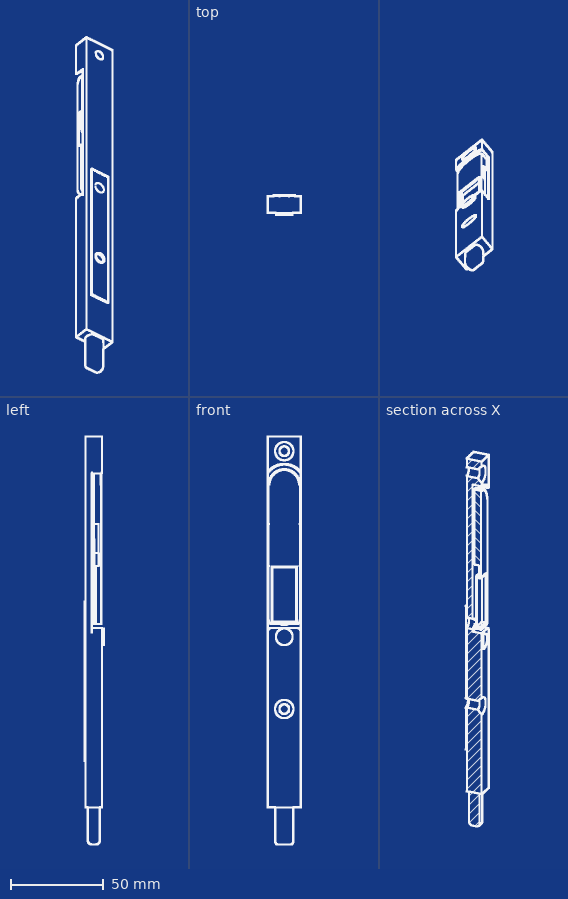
import cadquery as cq
import math


TOTAL_LENGTH = 220.0

HOUSING_WIDTH = 18.0
HOUSING_DEPTH = 9.0
HOUSING_LENGTH = 200.0
HOUSING_TOP = TOTAL_LENGTH
HOUSING_BOTTOM = HOUSING_TOP - HOUSING_LENGTH

SCREW_HOLE_DIAMETER = 5.0
SCREW_HEAD_DIAMETER = 10.0
UPPER_HOLE_Z = HOUSING_TOP - 8.0
LOWER_HOLE_Z = HOUSING_TOP - 147.0

EDGE_BREAK = 0.5

LEVER_WIDTH = 16.7
LEVER_FRONT_SETBACK = 0.5
LEVER_BACK_SETBACK = 4.6
LEVER_TOP = HOUSING_TOP - 17.5
LEVER_BOTTOM = HOUSING_TOP - 101.2
LEVER_CORNER_RADIUS = 2.0
LEVER_RADIUS = LEVER_WIDTH / 2
LEVER_ARC_Z = LEVER_TOP - LEVER_RADIUS
LEVER_FRONT_Y = LEVER_FRONT_SETBACK - HOUSING_DEPTH
LEVER_BACK_Y = LEVER_BACK_SETBACK - HOUSING_DEPTH

LEAF_THICKNESS = 0.5
LEAF_FRONT_Y = LEVER_BACK_Y - LEAF_THICKNESS
SLIT_WIDTH = 0.7
RELIEF_TOP = HOUSING_TOP - 47.0
RELIEF_BOTTOM = HOUSING_TOP - 69.7
RELIEF_SKIN = 1.5

BOSS_RADIUS = 7.3
BOSS_ARC_Z = HOUSING_TOP - 55.7

POCKET_WIDTH = 12.8
POCKET_TOP = HOUSING_TOP - 70.6
POCKET_BOTTOM = HOUSING_TOP - 99.7
POCKET_DEPTH = 2.5

RECESS_DEPTH = 5.5
RECESS_FLOOR_Y = RECESS_DEPTH - HOUSING_DEPTH
RECESS_GAP = 2.5
RECESS_RADIUS = LEVER_RADIUS + RECESS_GAP
ARCH_SIDE_Z = LEVER_ARC_Z + math.sqrt(RECESS_RADIUS**2 - (HOUSING_WIDTH / 2) ** 2)
RECESS_BOTTOM = HOUSING_TOP - 103.2
RECESS_CORNER_RADIUS = 2.5
FLOOR_EDGE_BREAK = 0.33

FLOOR_HOLE_DIAMETER = 6.0
FLOOR_HOLE_Z = HOUSING_TOP - 98.8

BUTTON_DIAMETER = 9.0
BUTTON_HEIGHT = 1.0
BUTTON_Z = HOUSING_TOP - 108.0

PLATE_WIDTH = 11.5
PLATE_THICKNESS = 0.7
PLATE_HOLE_DIAMETER = 6.0
PLATE_TOP = HOUSING_TOP - 88.9
PLATE_BOTTOM = HOUSING_TOP - 175.0

BOLT_WIDTH = 10.0
BOLT_DEPTH = 6.5
BOLT_FLAT_WIDTH = 6.0
BOLT_TIP_RADIUS = 2.2


def block(width, front_y, back_y, bottom_z, top_z):
    """Box centred on X = 0 between the given Y and Z limits."""
    return (
        cq.Workplane("XY")
        .box(width, back_y - front_y, top_z - bottom_z, centered=(True, False, False))
        .translate((0, front_y, bottom_z))
    )


def disc(radius, front_y, back_y, z):
    """Cylinder along Y, centred on X = 0."""
    return cq.Workplane("XZ", origin=(0, back_y, z)).circle(radius).extrude(back_y - front_y)


def screw_hole(z):
    """Through hole with a 90 degree countersink at the front face."""
    head_radius = SCREW_HEAD_DIAMETER / 2
    hole = disc(SCREW_HOLE_DIAMETER / 2, -HOUSING_DEPTH, 0, z)
    countersink = cq.Solid.makeCone(
        head_radius, 0, head_radius, cq.Vector(0, -HOUSING_DEPTH, z), cq.Vector(0, 1, 0)
    )
    return hole.union(cq.Workplane(countersink))


def tapered_disc(front_radius, front_y, back_y, z):
    """Cone section along Y that shrinks by its own height towards the back."""
    height = back_y - front_y
    cone = cq.Solid.makeCone(
        front_radius, front_radius - height, height, cq.Vector(0, front_y, z), cq.Vector(0, 1, 0)
    )
    return cq.Workplane(cone)


def lever_recess():
    """Opening across the full width: arched at the top, flared at the bottom."""
    half_width = HOUSING_WIDTH / 2
    corner = RECESS_CORNER_RADIUS
    corner_mid = corner * (1 - math.sqrt(0.5))
    outline = (
        cq.Workplane("XZ", origin=(0, RECESS_FLOOR_Y, 0))
        .moveTo(-half_width, ARCH_SIDE_Z)
        .threePointArc((0, LEVER_ARC_Z + RECESS_RADIUS), (half_width, ARCH_SIDE_Z))
        .lineTo(half_width, RECESS_BOTTOM - corner)
        .threePointArc(
            (half_width - corner_mid, RECESS_BOTTOM - corner_mid),
            (half_width - corner, RECESS_BOTTOM),
        )
        .lineTo(corner - half_width, RECESS_BOTTOM)
        .threePointArc(
            (corner_mid - half_width, RECESS_BOTTOM - corner_mid),
            (-half_width, RECESS_BOTTOM - corner),
        )
        .close()
    )
    arch_chamfer = tapered_disc(
        RECESS_RADIUS + EDGE_BREAK, -HOUSING_DEPTH, EDGE_BREAK - HOUSING_DEPTH, LEVER_ARC_Z
    )
    return outline.extrude(RECESS_DEPTH).union(arch_chamfer)


def floor_side_bevel(side):
    """Wedge that bevels the long edge of the recess floor on side -1 or +1."""
    side_x = side * HOUSING_WIDTH / 2
    bottom_z = RECESS_BOTTOM - RECESS_CORNER_RADIUS
    return (
        cq.Workplane("XY", origin=(0, 0, bottom_z))
        .moveTo(side_x, RECESS_FLOOR_Y)
        .lineTo(side_x, RECESS_FLOOR_Y + FLOOR_EDGE_BREAK)
        .lineTo(side_x - side * FLOOR_EDGE_BREAK, RECESS_FLOOR_Y)
        .close()
        .extrude(ARCH_SIDE_Z - bottom_z)
    )


def make_housing():
    housing = block(HOUSING_WIDTH, -HOUSING_DEPTH, 0, HOUSING_BOTTOM, HOUSING_TOP)
    housing = housing.cut(lever_recess())
    housing = housing.cut(disc(FLOOR_HOLE_DIAMETER / 2, RECESS_FLOOR_Y, 0, FLOOR_HOLE_Z))
    for side in (-1, 1):
        housing = housing.cut(floor_side_bevel(side))
    for hole_z in (UPPER_HOLE_Z, LOWER_HOLE_Z):
        housing = housing.cut(screw_hole(hole_z))
    return housing


def side_slot():
    """Slot open at both sides and the lower end, leaving the boss and a leaf of the same width."""
    skin_y = LEVER_FRONT_Y + RELIEF_SKIN
    relief = block(LEVER_WIDTH, skin_y, LEAF_FRONT_Y, RELIEF_BOTTOM, RELIEF_TOP)
    boss = block(2 * BOSS_RADIUS, skin_y, LEAF_FRONT_Y, BOSS_ARC_Z, RELIEF_TOP)
    boss = boss.union(disc(BOSS_RADIUS, skin_y, LEAF_FRONT_Y, BOSS_ARC_Z))
    slit = block(LEVER_WIDTH, LEAF_FRONT_Y - SLIT_WIDTH, LEAF_FRONT_Y, LEVER_BOTTOM, RELIEF_BOTTOM)
    beside_leaf = block(LEVER_WIDTH, LEAF_FRONT_Y, LEVER_BACK_Y, LEVER_BOTTOM, RELIEF_TOP)
    beside_leaf = beside_leaf.cut(
        block(2 * BOSS_RADIUS, LEAF_FRONT_Y, LEVER_BACK_Y, LEVER_BOTTOM, RELIEF_TOP)
    )
    return relief.cut(boss).union(slit).union(beside_leaf)


def finger_pocket():
    """Rectangular pocket that widens at its mouth."""
    floor_y = LEVER_FRONT_Y + POCKET_DEPTH
    mouth_y = LEVER_FRONT_Y + EDGE_BREAK
    height = POCKET_TOP - POCKET_BOTTOM
    middle_z = (POCKET_TOP + POCKET_BOTTOM) / 2
    pocket = block(POCKET_WIDTH, LEVER_FRONT_Y, floor_y, POCKET_BOTTOM, POCKET_TOP)
    mouth = (
        cq.Workplane("XZ", origin=(0, mouth_y, middle_z))
        .rect(POCKET_WIDTH, height)
        .workplane(offset=EDGE_BREAK)
        .rect(POCKET_WIDTH + 2 * EDGE_BREAK, height + 2 * EDGE_BREAK)
        .loft(ruled=True)
    )
    return pocket.union(mouth)


def make_lever():
    """Round-topped lever with its arched front edge chamfered."""
    lever = block(LEVER_WIDTH, LEVER_FRONT_Y, LEVER_BACK_Y, LEVER_BOTTOM, LEVER_ARC_Z)
    lever = lever.faces("<Z").edges("|Y").fillet(LEVER_CORNER_RADIUS)
    arch = disc(LEVER_RADIUS, LEVER_FRONT_Y, LEVER_BACK_Y, LEVER_ARC_Z)
    arch = arch.faces("<Y").chamfer(EDGE_BREAK)
    return lever.union(arch).cut(side_slot()).cut(finger_pocket())


def make_button():
    return disc(BUTTON_DIAMETER / 2, -HOUSING_DEPTH - BUTTON_HEIGHT, -HOUSING_DEPTH, BUTTON_Z)


def make_back_plate():
    plate = block(PLATE_WIDTH, 0, PLATE_THICKNESS, PLATE_BOTTOM, PLATE_TOP)
    return plate.cut(disc(PLATE_HOLE_DIAMETER / 2, 0, PLATE_THICKNESS, LOWER_HOLE_Z))


def make_bolt():
    """Bar standing out of the bottom of the housing, with half-elliptic sides and a rounded tip."""
    half_flat = BOLT_FLAT_WIDTH / 2
    half_depth = BOLT_DEPTH / 2
    side_bulge = (BOLT_WIDTH - BOLT_FLAT_WIDTH) / 2
    section = (
        cq.Workplane("XY", origin=(0, -HOUSING_DEPTH / 2, 0))
        .moveTo(-half_flat, -half_depth)
        .lineTo(half_flat, -half_depth)
        .ellipseArc(side_bulge, half_depth, -90, 90, startAtCurrent=True)
        .lineTo(-half_flat, half_depth)
        .ellipseArc(side_bulge, half_depth, 90, 270, startAtCurrent=True)
        .close()
    )
    bolt = section.extrude(HOUSING_BOTTOM)
    return bolt.faces("<Z").edges().fillet(BOLT_TIP_RADIUS)


housing = make_housing()
lever = make_lever()
button = make_button()
back_plate = make_back_plate()
bolt = make_bolt()

result = cq.Compound.makeCompound(
    [housing.val(), lever.val(), button.val(), back_plate.val(), bolt.val()]
)